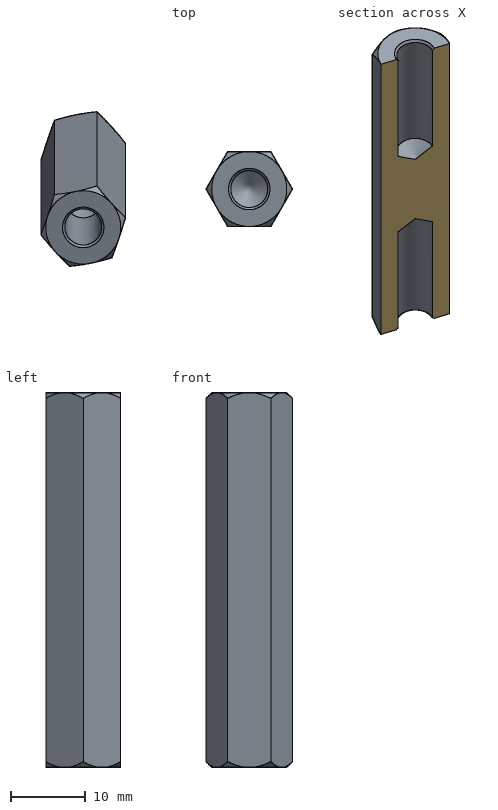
import cadquery as cq
import math

ACROSS_FLATS = 10.0
LENGTH = 50.0

CORNER_CHAMFER_ANGLE = 45.0

HOLE_DIAMETER = 4.92
HOLE_DEPTH = 18.0
DRILL_POINT_ANGLE = 118.0
MOUTH_CHAMFER = 0.3

across_corners = ACROSS_FLATS / math.cos(math.radians(30))
end_face_radius = ACROSS_FLATS / 2
corner_radius = across_corners / 2
corner_drop = (corner_radius - end_face_radius) * math.tan(math.radians(CORNER_CHAMFER_ANGLE))

hole_radius = HOLE_DIAMETER / 2
mouth_radius = hole_radius + MOUTH_CHAMFER
drill_point_depth = hole_radius / math.tan(math.radians(DRILL_POINT_ANGLE / 2))


def revolve_about_z(profile):
    """Revolve a closed (radius, height) profile into a solid around the Z axis."""
    return cq.Workplane("XZ").polyline(profile).close().revolve(360, (0, 0, 0), (0, 1, 0))


def make_hex_bar():
    """Hexagonal bar with two corners on the X axis and its base at Z = 0."""
    return cq.Workplane("XY").polygon(6, across_corners).extrude(LENGTH)


def make_chamfer_envelope():
    """Round bar with conical ends; its intersection with the hexagon chamfers the corners."""
    return revolve_about_z([
        (0, 0),
        (end_face_radius, 0),
        (corner_radius, corner_drop),
        (corner_radius, LENGTH - corner_drop),
        (end_face_radius, LENGTH),
        (0, LENGTH),
    ])


def make_top_hole():
    """Blind hole cutter with a chamfered mouth at the top face and a drill-point bottom."""
    return revolve_about_z([
        (0, LENGTH),
        (mouth_radius, LENGTH),
        (hole_radius, LENGTH - MOUTH_CHAMFER),
        (hole_radius, LENGTH - HOLE_DEPTH),
        (0, LENGTH - HOLE_DEPTH - drill_point_depth),
    ])


top_hole = make_top_hole()
bottom_hole = top_hole.mirror("XY", (0, 0, LENGTH / 2))

result = make_hex_bar().intersect(make_chamfer_envelope()).cut(top_hole).cut(bottom_hole)